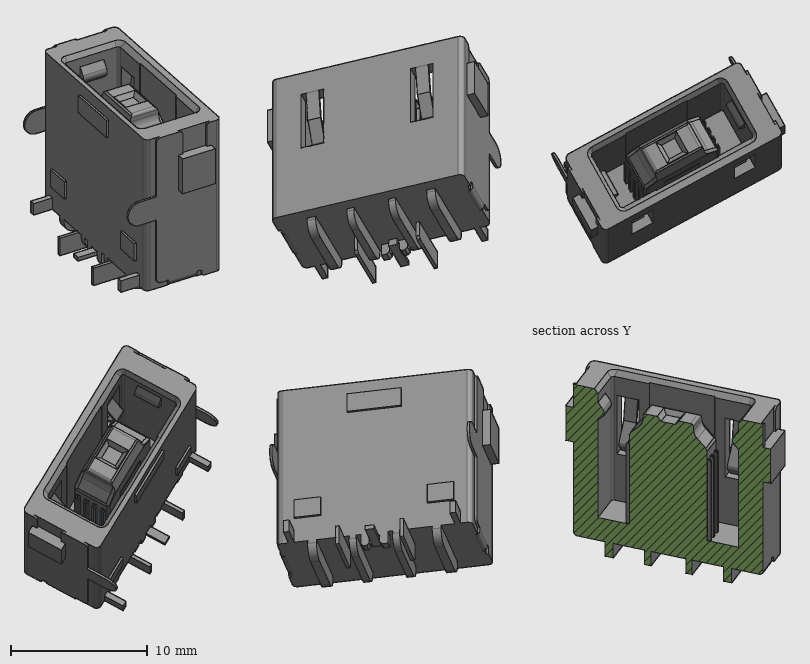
import cadquery as cq
import math


overall_x = 16.2
height = 13.0
sheet = 0.18
housing_x = 14.65
housing_back = 6.14
corner_r = 0.39
shell_half_x = housing_x / 2 + sheet
shell_back = housing_back + sheet
pin_reach = 1.59
lip_front, lip_back = 1.88, 4.28
tab_low, tab_high = 6.01, 8.0

mouth_x, mouth_front, mouth_back, mouth_r = 11.63, 0.37, 5.77, 0.6
cavity_x, cavity_front, cavity_back, cavity_r = 11.05, 0.73, 5.38, 0.2
lead_in = 0.39
floor_z = 2.0
relief_x, relief_depth = 5.15, 0.06
cavity_mid_y = (cavity_front + cavity_back) / 2

tongue_x, tongue_y, tongue_chamfer = 6.17, 2.98, 0.15
tongue_top = 11.75
shoulder_z = 10.53
socket_x, socket_y, socket_taper, socket_depth = 1.72, 1.8, 0.3, 0.35

window_x, window_mid_x = 1.75, 4.28
window_bottom, window_top = 6.0, 11.02
spring_x = 0.99


def box(x_range, y_range, z_range):
    """Axis-aligned box from pairs of limits."""
    size = [high - low for low, high in (x_range, y_range, z_range)]
    corner = cq.Vector(x_range[0], y_range[0], z_range[0])
    return cq.Workplane("XY").box(*size, centered=False).translate(corner)


def both_sides(shape):
    """The shape together with its mirror image about X = 0."""
    return shape.union(shape.mirror("YZ"))


def rounded_outline(plane, corners):
    """Closed outline through (u, v, radius) corners; a radius of zero keeps the corner sharp."""
    touching = 1.62e-05
    outline = cq.Workplane(plane)
    for i, (u, v, radius) in enumerate(corners):
        corner = cq.Vector(u, v)
        start = finish = corner
        if radius:
            back = (cq.Vector(*corners[i - 1][:2]) - corner).normalized()
            ahead = (cq.Vector(*corners[(i + 1) % len(corners)][:2]) - corner).normalized()
            half_angle = back.getAngle(ahead) / 2
            setback = radius / math.tan(half_angle)
            to_arc = radius / math.sin(half_angle) - radius
            start = corner + back * setback
            finish = corner + ahead * setback
            middle = corner + (back + ahead).normalized() * to_arc
        if i == 0:
            outline = outline.moveTo(start.x, start.y)
        elif (start - previous).Length > touching:
            outline = outline.lineTo(start.x, start.y)
        previous = finish
        if radius:
            outline = outline.threePointArc((middle.x, middle.y), (finish.x, finish.y))
    return outline.close()


def along_x(corners, x_range):
    """Prism along X from an outline of (y, z, radius) corners."""
    return rounded_outline("YZ", corners).extrude(x_range[1] - x_range[0]).translate((x_range[0], 0, 0))


def along_y(corners, y_range):
    """Prism along Y from an outline of (x, z, radius) corners."""
    return rounded_outline("XZ", corners).extrude(y_range[0] - y_range[1]).translate((0, y_range[0], 0))


def mirrored_profile(right_half):
    """Full outline from the right half, listed from bottom to top."""
    return right_half + [(-u, v, radius) for u, v, radius in reversed(right_half)]


def rounded_block(x_size, y_range, z_range, radius):
    """Upright block centred on X = 0 with rounded vertical edges."""
    half = x_size / 2
    return box((-half, half), y_range, z_range).edges("|Z").fillet(radius)


def make_housing():
    """Plastic housing with its cavity, sloped mouth and front pads."""
    body = box((-housing_x / 2, housing_x / 2), (0, housing_back), (0, height))
    body = body.edges("|Z and <Y").fillet(corner_r)
    body = body.edges("|Z and >Y").fillet(corner_r - sheet)
    body = body.cut(rounded_block(cavity_x, (cavity_front, cavity_back), (floor_z, height), cavity_r))

    def opening(x_size, front, back, radius, z):
        half = x_size / 2
        corners = [(-half, front, radius), (half, front, radius), (half, back, radius), (-half, back, radius)]
        return rounded_outline("XY", corners).translate((0, 0, z)).val()

    mouth = cq.Workplane(cq.Solid.makeLoft([
        opening(cavity_x, cavity_front, cavity_back, cavity_r, height - lead_in),
        opening(mouth_x, mouth_front, mouth_back, mouth_r, height),
    ], True))
    relief = box(
        (-relief_x / 2, relief_x / 2),
        (cavity_front - relief_depth, cavity_back + relief_depth),
        (floor_z, height),
    )
    body = body.cut(mouth).cut(relief)

    pad_height = 0.18
    upper_half_x, upper_z = 2.02, (10.5, 11.99)
    lower_x, lower_z = (4.0, 6.0), (2.01, 3.5)
    upper_pad = box((-upper_half_x, upper_half_x), (-pad_height, 0), upper_z)
    lower_pad = box(lower_x, (-pad_height, 0), lower_z)
    return body.union(upper_pad).union(both_sides(lower_pad))


def make_shell():
    """Sheet wrapped around the back and sides, trimmed to the side outline."""
    def open_front_block(half_x, back, radius):
        block = box((-half_x, half_x), (-pin_reach, back), (0, height))
        return block.edges("|Z and >Y").fillet(radius)

    wrap = open_front_block(shell_half_x, shell_back, corner_r)
    wrap = wrap.cut(open_front_block(housing_x / 2, housing_back, corner_r - sheet))

    side_front = 0.85
    foot_z = 0.52
    relief_back = 4.7
    foot_r, lip_front_r, lip_back_r = 0.35, 0.11, 0.13
    relief_top_r, relief_foot_r = 0.2, 0.16
    tab_root_r = 0.13
    tab_r = (tab_high - tab_low) / 2
    shell_top_r = 0.3
    notch_front, notch_back, notch_bottom = 3.06, 5.1, 9.72
    side = [
        (side_front, foot_z, foot_r),
        (lip_front, foot_z, lip_front_r),
        (lip_front, 0, 0),
        (lip_back, 0, 0),
        (lip_back, foot_z, lip_back_r),
        (relief_back, foot_z, relief_top_r),
        (relief_back, 0, relief_foot_r),
        (shell_back, 0, 0),
        (shell_back, height, 0),
        (notch_back, height, shell_top_r),
        (notch_back, notch_bottom, 0),
        (notch_front, notch_bottom, 0),
        (notch_front, height, shell_top_r),
        (side_front, height, shell_top_r),
        (side_front, tab_high, tab_root_r),
        (-pin_reach, tab_high, tab_r),
        (-pin_reach, tab_low, tab_r),
        (side_front, tab_low, tab_root_r),
    ]
    trim = along_x(side, (-shell_half_x, shell_half_x))
    return wrap.intersect(trim)


def make_lip_bend():
    """Material to remove so that the bottom lips of the shell bend under the housing."""
    bend_r = 0.35
    edge = box((shell_half_x - bend_r, shell_half_x), (lip_front, lip_back), (0, bend_r))
    bend = (
        cq.Workplane("XZ", origin=(shell_half_x - bend_r, lip_front, bend_r))
        .circle(bend_r)
        .extrude(lip_front - lip_back)
    )
    return both_sides(edge.cut(bend))


def make_wings():
    """Block-shaped wings that pass through the shell notches and overlap the shell."""
    wing_front, wing_back = 2.69, 5.48
    wing_top = 11.0
    return both_sides(box((housing_x / 2, overall_x / 2), (wing_front, wing_back), (tab_high, wing_top)))


def make_tongue():
    """Contact tongue standing in the cavity, with a tapered socket in its top."""
    half_x = tongue_x / 2
    half_y = tongue_y / 2
    block = box(
        (-half_x, half_x),
        (cavity_mid_y - half_y, cavity_mid_y + half_y),
        (0, tongue_top),
    ).edges("|Z").chamfer(tongue_chamfer)

    top_half_x = 2.0
    neck_half_x, neck_z = 2.04, 10.82
    neck_r = 0.99
    top_r = 0.23
    shoulder_edge = 0.15
    rim = 0.11
    shoulder_end_z = neck_z - (half_x - neck_half_x)
    shoulder_profile = mirrored_profile([
        (half_x, 0, 0),
        (half_x, shoulder_end_z - rim, 0),
        (half_x - rim, shoulder_end_z + rim, 0),
        (neck_half_x, neck_z, neck_r),
        (top_half_x, tongue_top, top_r),
    ])
    tongue = block.intersect(along_y(shoulder_profile, (0, housing_back)))
    for shoulder_face, sloped_edge in (("+(1, 0, 1)", "|(1, 0, -1)"), ("+(-1, 0, 1)", "|(1, 0, 1)")):
        tongue = tongue.faces(shoulder_face).edges(sloped_edge).chamfer(shoulder_edge)

    edge = 0.11
    bevel_half_y = 1.1
    top_half_y = 0.95
    bevel_profile = mirrored_profile([
        (half_y, 0, 0),
        (half_y, shoulder_z, 0),
        (bevel_half_y, tongue_top - edge, 0),
        (top_half_y, tongue_top, 0),
    ])
    tongue = tongue.intersect(along_x(bevel_profile, (-half_x, half_x)).translate((0, cavity_mid_y, 0)))

    taper_angle = math.degrees(math.atan(socket_taper / socket_depth))
    socket = (
        cq.Workplane("XY", origin=(0, cavity_mid_y, tongue_top))
        .rect(socket_x, socket_y)
        .extrude(-socket_depth, taper=taper_angle)
    )
    return tongue.cut(socket)


def make_contacts():
    """Four split contacts down each side of the tongue and a flat strip on its front and back."""
    strip_x, strip_y, strip_top = 0.26, 0.32, 8.91
    split = 0.03
    tip = strip_x / 2
    pitch = 0.7
    inner_x = tongue_x / 2
    profile = [
        (inner_x, floor_z, 0),
        (inner_x + strip_x, floor_z, 0),
        (inner_x + strip_x, strip_top - tip, 0),
        (inner_x + strip_x - tip, strip_top, 0),
        (inner_x, strip_top, 0),
    ]
    strips = cq.Workplane("XY")
    for step in (-1.5, -0.5, 0.5, 1.5):
        y = cavity_mid_y + step * pitch
        strips = strips.add(along_y(profile, (y - strip_y / 2, y - split / 2)))
        strips = strips.add(along_y(profile, (y + split / 2, y + strip_y / 2)))
    strips = strips.combine()
    flat_half_x = 1.45
    flat_thickness = 0.05
    flat_half_y = tongue_y / 2 + flat_thickness
    flats = box(
        (-flat_half_x, flat_half_x),
        (cavity_mid_y - flat_half_y, cavity_mid_y + flat_half_y),
        (floor_z, strip_top),
    )
    return both_sides(strips).union(flats)


def make_back_windows():
    """Openings through the back wall and shell that free the back springs."""
    window = box(
        (window_mid_x - window_x / 2, window_mid_x + window_x / 2),
        (cavity_back - relief_depth, shell_back),
        (window_bottom, window_top),
    )
    return both_sides(window)


def make_back_springs():
    """Strips hanging from the shell above each window and bowed into the cavity."""
    bend_y, bend_z = 5.77, 8.75
    tip_y, tip_z = 4.76, 7.13
    end_y, end_z = 5.5, 6.32
    tip_depth = 1.5 * sheet
    outer_tip_r, inner_tip_r = 0.25, 0.05
    outline = [
        (shell_back, window_top, 0),
        (housing_back, window_top, 0),
        (bend_y, bend_z, 0),
        (tip_y, tip_z, outer_tip_r),
        (end_y, end_z, 0),
        (end_y + sheet, end_z + sheet, 0),
        (tip_y + tip_depth, tip_z, inner_tip_r),
        (bend_y + sheet, bend_z, 0),
    ]
    x_range = (window_mid_x - spring_x / 2, window_mid_x + spring_x / 2)
    return both_sides(along_x(outline, x_range))


def make_side_springs():
    """Bowed spring bumps on the two end walls of the cavity."""
    wall_x = cavity_x / 2
    bump_top, bump_bottom = 11.87, 10.37
    crest_x, crest_z, crest_r = 4.9, 10.97, 0.49
    bump_front, bump_back = 2.07, 4.08
    bump = [
        (wall_x, bump_top, 0),
        (crest_x, crest_z, crest_r),
        (wall_x, bump_bottom, 0),
    ]
    return both_sides(along_y(bump, (bump_front, bump_back)))


def make_feet():
    """Locating ribs and forked foot below the housing."""
    rib_depth, rib_back, rib_r = 1.23, 5.46, 1.0
    rib = [
        (0, 0, 0),
        (rib_back, 0, 0),
        (rib_back, -rib_depth, rib_r),
        (0, -rib_depth, rib_r),
    ]
    outer_rib_x = (4.34, 5.0)
    inner_rib_x = (1.36, 1.9)
    ribs = along_x(rib, outer_rib_x).union(along_x(rib, inner_rib_x))

    foot_half_x, foot_drop, foot_back = 1.02, 0.99, 0.65
    fork_half_x, fork_top = 0.39, -0.23
    chamfer = 0.2
    foot = [
        (-foot_half_x, 0, 0),
        (-foot_half_x, chamfer - foot_drop, 0),
        (chamfer - foot_half_x, -foot_drop, 0),
        (-fork_half_x - chamfer, -foot_drop, 0),
        (-fork_half_x, chamfer - foot_drop, 0),
        (-fork_half_x, fork_top, 0),
        (fork_half_x, fork_top, 0),
        (fork_half_x, chamfer - foot_drop, 0),
        (fork_half_x + chamfer, -foot_drop, 0),
        (foot_half_x, -foot_drop, 0),
        (foot_half_x, 0, 0),
    ]
    return both_sides(ribs).union(along_y(foot, (0, foot_back)))


def make_pins():
    """Solder pins reaching forward past the front face."""
    blade_drop, blade_back, blade_chamfer = 1.5, 2.2, 0.23
    blade = [
        (-pin_reach, 0, 0),
        (-pin_reach, -blade_drop, 0),
        (blade_back - blade_chamfer, -blade_drop, 0),
        (blade_back, blade_chamfer - blade_drop, 0),
        (blade_back, 0, 0),
    ]
    blade_x = (2.28, 2.55)
    blades = along_x(blade, blade_x)
    corner_pin_x, corner_pin_top = (6.03, 6.46), 0.99
    corner_pin = box(corner_pin_x, (-pin_reach, cavity_front), (0, corner_pin_top))

    pin_half_x, pin_top, pin_bottom = 0.32, -0.26, -0.58
    root_y, root_depth = 0.97, 0.32
    centre_pin = box((-pin_half_x, pin_half_x), (-pin_reach, root_y), (pin_bottom, pin_top))
    centre_root = box((-pin_half_x, pin_half_x), (root_y - root_depth, root_y), (pin_bottom, 0))
    return both_sides(blades.union(corner_pin)).union(centre_pin).union(centre_root)


body = make_housing().union(make_shell()).union(make_wings()).cut(make_lip_bend())
body = body.cut(make_back_windows())
for part in (
    make_back_springs(),
    make_side_springs(),
    make_tongue(),
    make_feet(),
    make_pins(),
):
    body = body.union(part)

result = body.union(make_contacts())